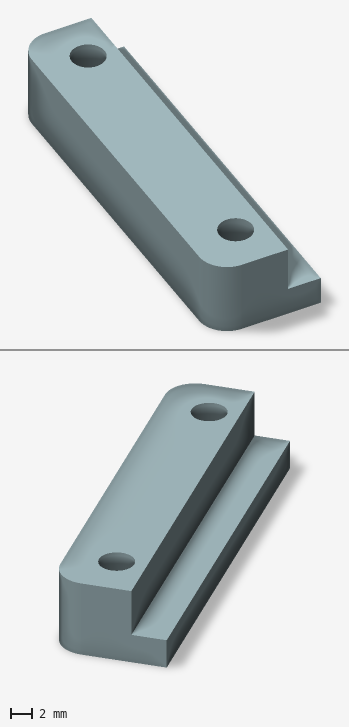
import cadquery as cq

length = 40.0
depth = 11.5
height = 7.8

lip_depth = 3.5
lip_height = 3.0

corner_radius = 3.0

hole_diameter = 3.5
hole_inset = 5.0
hole_spacing = length - 2 * hole_inset


def make_body():
    """Stepped bar centred on X, with its front face at Y = 0 and its base at Z = 0."""
    block_depth = depth - lip_depth
    lip = cq.Workplane("XY").box(length, depth, lip_height, centered=(True, False, False))
    block = cq.Workplane("XY").box(length, block_depth, height, centered=(True, False, False))
    return lip.union(block).clean()


def round_front_corners(body):
    """Round the two full-height vertical edges of the front face."""
    return body.faces("<Y").edges("|Z").fillet(corner_radius)


def make_holes():
    """Two cylinders that pass through the full height of the bar."""
    centers = [(side * hole_spacing / 2, hole_inset) for side in (-1, 1)]
    return cq.Workplane("XY").pushPoints(centers).circle(hole_diameter / 2).extrude(height)


result = round_front_corners(make_body()).cut(make_holes())